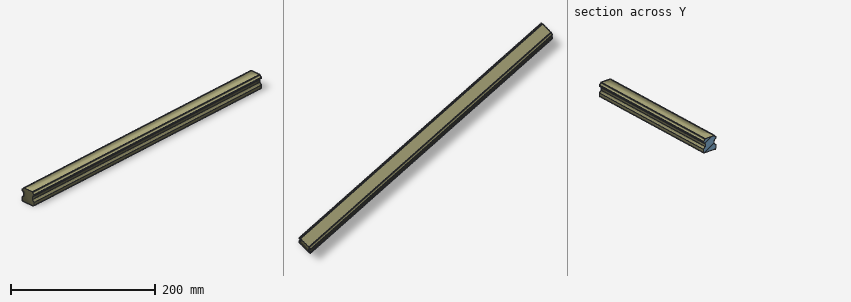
import cadquery as cq
import math

length = 460.0
height = 22.0
half_width = 11.5

lip_top = 19.0
lip_bottom = 17.0
raceway_run = 2.65
raceway_sag = 0.55
raceway_half_width = half_width - raceway_run
raceway_top = lip_top + raceway_run
raceway_bottom = lip_bottom - raceway_run
bevel_run = height - raceway_top
top_half_width = raceway_half_width - bevel_run

web_half_width = top_half_width
web_top = raceway_bottom - bevel_run

foot_top = 6.5
foot_bevel = 1.5
web_bottom = foot_top + (half_width - web_half_width)

sag_step = raceway_sag / math.sqrt(2)
arc_middle_x = half_width - raceway_run / 2 - sag_step
lower_arc_middle = (arc_middle_x, lip_bottom - raceway_run / 2 + sag_step)
upper_arc_middle = (arc_middle_x, lip_top + raceway_run / 2 - sag_step)

right_half = (
    cq.Workplane("XZ")
    .lineTo(half_width - foot_bevel, 0)
    .lineTo(half_width, foot_bevel)
    .lineTo(half_width, foot_top)
    .lineTo(web_half_width, web_bottom)
    .lineTo(web_half_width, web_top)
    .lineTo(raceway_half_width, raceway_bottom)
    .threePointArc(lower_arc_middle, (half_width, lip_bottom))
    .lineTo(half_width, lip_top)
    .threePointArc(upper_arc_middle, (raceway_half_width, raceway_top))
    .lineTo(top_half_width, height)
    .lineTo(0, height)
    .close()
    .extrude(length / 2, both=True)
)

result = right_half.union(right_half.mirror("YZ")).clean()